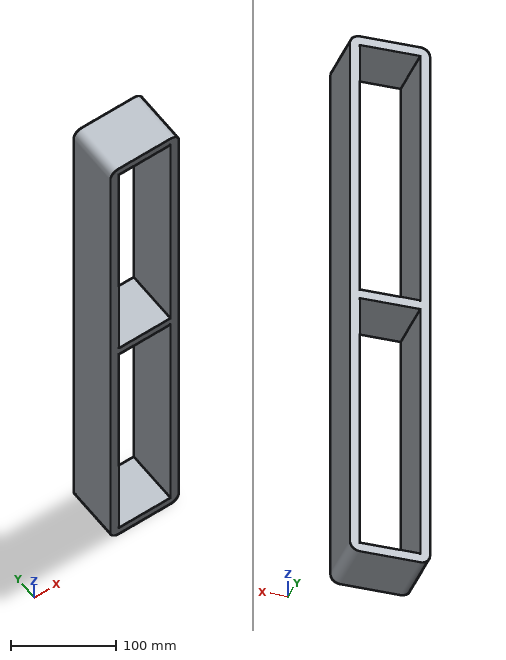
import cadquery as cq

width = 80.0
depth = 60.0
height = 586.0

wall = 10.0
corner_radius = 10.0

opening_width = width - 2 * wall
opening_height = (height - 3 * wall) / 2
opening_offset = (opening_height + wall) / 2

body = cq.Workplane("XY").box(width, depth, height).edges("|Y").fillet(corner_radius)

openings = (
    cq.Workplane("XZ")
    .pushPoints([(0, -opening_offset), (0, opening_offset)])
    .rect(opening_width, opening_height)
    .extrude(depth, both=True)
)

result = body.cut(openings)